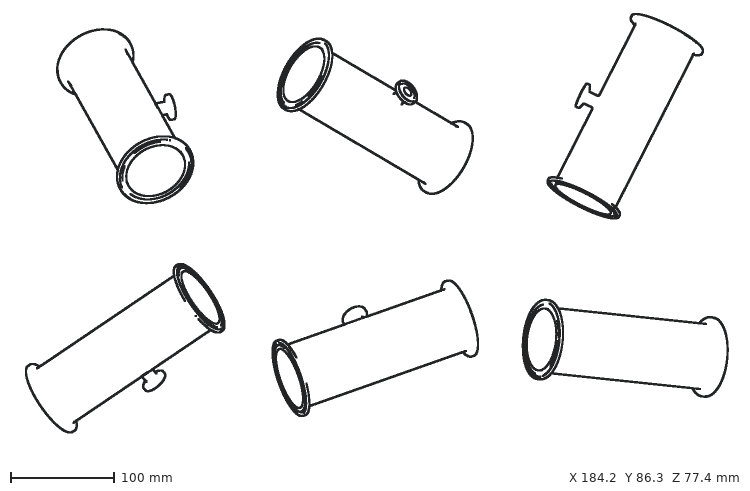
import cadquery as cq
import math

run_length = 184.15
branch_reach = 47.625
ferrule_length = 12.7
cone_angle = 20.0

run_od = 63.5
run_bore = 60.2
run_rim_od = 77.39
run_rim_width = 2.87
run_rim_round = 0.4
run_root_round = 1.27
run_groove_od = 73.2
run_groove_id = 68.0

branch_od = 12.7
branch_bore = 9.4
branch_rim_od = 24.99
branch_rim_width = 3.6
branch_rim_round = 0.4
branch_root_round = 0.4
branch_groove_od = 21.89
branch_groove_id = 18.5
branch_weld_round = 1.5

groove_depth = 0.9
groove_lip_round = 0.4

position_tolerance = 0.01


def circle_edges_at(solid, radius, height):
    """Circular edges around Z that have this radius and lie at this height."""
    return solid.edges("%CIRCLE").filter(
        lambda edge: abs(edge.radius() - radius) < position_tolerance
        and abs(edge.Center().z - height) < position_tolerance
    )


def make_ferrule(rim_od, rim_width, tube_od, bore, groove_od, groove_id, rim_round, root_round):
    """Clamp ferrule around Z: gasket face at Z = 0, tube end at Z = ferrule_length."""
    rim_radius = rim_od / 2
    tube_radius = tube_od / 2
    cone_rise = (rim_radius - tube_radius) * math.tan(math.radians(cone_angle))
    cone_end = rim_width + cone_rise
    groove_middle = (groove_od + groove_id) / 4

    solid = (
        cq.Workplane("XZ")
        .moveTo(bore / 2, 0)
        .lineTo(groove_id / 2, 0)
        .threePointArc((groove_middle, groove_depth), (groove_od / 2, 0))
        .lineTo(rim_radius, 0)
        .lineTo(rim_radius, rim_width)
        .lineTo(tube_radius, cone_end)
        .lineTo(tube_radius, ferrule_length)
        .lineTo(bore / 2, ferrule_length)
        .close()
        .revolve(360, (0, 0, 0), (0, 1, 0))
    )
    for lip_diameter in (groove_id, groove_od):
        solid = circle_edges_at(solid, lip_diameter / 2, 0).fillet(groove_lip_round)
    solid = circle_edges_at(solid, rim_radius, 0).fillet(rim_round)
    solid = circle_edges_at(solid, rim_radius, rim_width).fillet(rim_round)
    return circle_edges_at(solid, tube_radius, cone_end).fillet(root_round)


def make_tee_body():
    """Run tube between its ferrules with the branch stub welded to its +Y side."""
    body_length = run_length - 2 * ferrule_length
    stub_end = branch_reach - ferrule_length

    run = cq.Workplane("YZ").circle(run_od / 2).extrude(body_length / 2, both=True)
    run = run.rotate((0, 0, 0), (1, 0, 0), 180)
    stub = cq.Workplane("XZ").circle(branch_od / 2).extrude(-stub_end)
    weld_zone = cq.selectors.BoxSelector(
        (-branch_od, run_od / 4, -branch_od),
        (branch_od, stub_end - position_tolerance, branch_od),
    )
    weld_edges = run.union(stub).edges(weld_zone).edges("not %LINE").edges("not %CIRCLE")
    body = weld_edges.fillet(branch_weld_round)

    run_hole = cq.Workplane("YZ").circle(run_bore / 2).extrude(body_length / 2, both=True)
    branch_hole = cq.Workplane("XZ").circle(branch_bore / 2).extrude(-stub_end)
    return body.cut(run_hole).cut(branch_hole)


run_ferrule = make_ferrule(
    run_rim_od, run_rim_width, run_od, run_bore,
    run_groove_od, run_groove_id, run_rim_round, run_root_round,
)
branch_ferrule = make_ferrule(
    branch_rim_od, branch_rim_width, branch_od, branch_bore,
    branch_groove_od, branch_groove_id, branch_rim_round, branch_root_round,
)

left_ferrule = run_ferrule.rotate((0, 0, 0), (0, 1, 0), 90).translate((-run_length / 2, 0, 0))
right_ferrule = left_ferrule.mirror("YZ")
side_ferrule = branch_ferrule.rotate((0, 0, 0), (1, 0, 0), 90).translate((0, branch_reach, 0))

result = make_tee_body()
for ferrule in (left_ferrule, right_ferrule, side_ferrule):
    result = result.union(ferrule, clean=False)